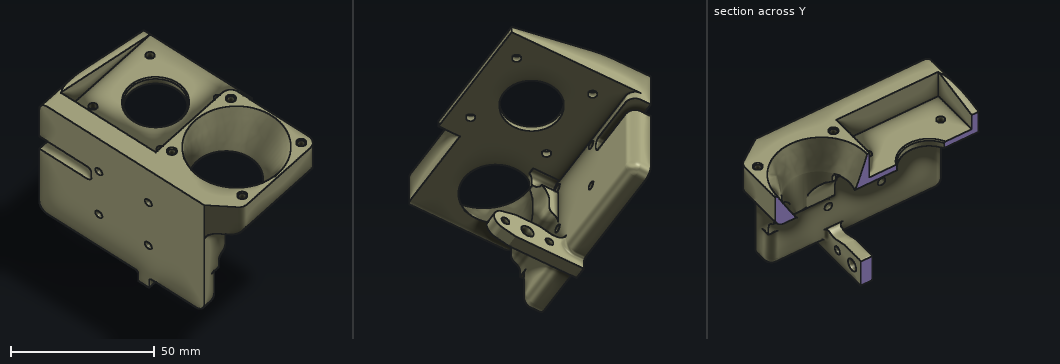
import cadquery as cq
import math

TOTAL_X = 86.3
TOTAL_Y = 56.8
TOTAL_Z = 61.8

PLATE_X = 75.0
PLATE_THICK = 8.0
PLATE_BOTTOM = 5.2
EDGE_RADIUS = 4.0
BACK_RADIUS = 3.9
SCREW_DIA = 3.2
SCREW_X = 27.1
SCREW_Z = 22.1
SCREW_PITCH = 22.5
SLOT_LENGTH = 23.7
SLOT_BOTTOM = 37.0
SLOT_TOP = 43.5
SLOT_RADIUS = 2.0

WALL = 3.0
DECK_BOTTOM = 47.1
DECK_TOP = DECK_BOTTOM + WALL
POCKET_X = 43.2
DECK_X = POCKET_X + 2 * WALL
MOTOR_X = DECK_X / 2
MOTOR_Y = 33.75
MOTOR_PITCH = 31.0
MOTOR_BORE_DIA = 22.5
MOTOR_BORE_CHAMFER = 0.5

FAN_LEFT = WALL + POCKET_X
FAN_SIZE = TOTAL_X - FAN_LEFT
FAN_BACK = PLATE_THICK + FAN_SIZE
FAN_X = TOTAL_X - FAN_SIZE / 2
FAN_Y = PLATE_THICK + FAN_SIZE / 2
FAN_PITCH = 32.0
FAN_SCREW_DIA = 2.8
FAN_SCREW_DEPTH = 10.0
FAN_SCREW_CHAMFER = 0.4
DUCT_TOP_DIA = 38.0
DUCT_BOTTOM_DIA = 26.0
DUCT_BOTTOM_X = 64.7
DUCT_BOTTOM_Y = 24.1

RIB_BACK = 16.7
RIB_STEP = 11.6
RIB_BEND_Z = 43.1
RIB_STEP_Z = 34.95
RIB_ROUND_Z = 31.4
RIB_END_Z = 25.55
RIB_FILLET = 2.0
SCREW_HEAD_DIA = 5.8

TONGUE_LEFT = 45.05
TONGUE_THICK = 4.9
TONGUE_HEIGHT = 12.0
TONGUE_Z = TONGUE_HEIGHT / 2
TONGUE_HOLE_Y = 23.0
TONGUE_HOLE_DIA = 5.0
TONGUE_PIN_OFFSET = 9.0
TONGUE_PIN_DIA = 3.2
TONGUE_NOSE_RADIUS = 4.7
TONGUE_FLAT = 4.8
TONGUE_HOLLOW_Y = 13.6
TONGUE_HOLLOW_Z = 10.7
TONGUE_FILLET = 1.5

CHAMFER_ANGLE = 45
PICK_MARGIN = 0.1


def box(x0, x1, y0, y1, z0, z1):
    return cq.Workplane("XY").box(x1 - x0, y1 - y0, z1 - z0, centered=False).translate((x0, y0, z0))


def rod_y(x, z, diameter, y0, y1):
    return cq.Workplane("XZ", origin=(x, y0, z)).circle(diameter / 2).extrude(y0 - y1)


def corner_web(x, z, x_side, z_side, radius, depth):
    """Material between a square corner and the round of the given radius that touches both its sides."""
    x_end = x + x_side * radius
    z_end = z + z_side * radius
    bulge = radius * (1 - math.sqrt(0.5))
    return (
        cq.Workplane("XZ")
        .moveTo(x, z)
        .lineTo(x_end, z)
        .threePointArc((x + x_side * bulge, z + z_side * bulge), (x, z_end))
        .close()
        .extrude(-depth)
    )


def square_points(pitch):
    return [(i * pitch / 2, j * pitch / 2) for i in (-1, 1) for j in (-1, 1)]


def make_plate():
    plate = box(0, PLATE_X, 0, PLATE_THICK, PLATE_BOTTOM, TOTAL_Z)
    plate = plate.edges("|Y and <Z").fillet(EDGE_RADIUS)
    return plate.faces(">Y").edges("not >Z").fillet(BACK_RADIUS)


def make_deck():
    deck = (
        cq.Workplane("YZ")
        .moveTo(0, DECK_BOTTOM)
        .lineTo(TOTAL_Y, DECK_BOTTOM)
        .lineTo(TOTAL_Y, DECK_TOP)
        .lineTo(PLATE_THICK, TOTAL_Z)
        .lineTo(0, TOTAL_Z)
        .close()
        .extrude(DECK_X)
    )
    return deck.cut(corner_web(0, TOTAL_Z, 1, -1, EDGE_RADIUS, TOTAL_Y))


def make_fan_block():
    outline = (
        cq.Workplane("XY")
        .moveTo(FAN_LEFT, 0)
        .lineTo(PLATE_X, 0)
        .lineTo(TOTAL_X, PLATE_THICK)
        .lineTo(TOTAL_X, FAN_BACK)
        .lineTo(FAN_LEFT, FAN_BACK)
        .close()
        .extrude(TOTAL_Z)
        .edges("|Z and (>X or >Y)")
        .fillet(EDGE_RADIUS)
    )
    block = box(FAN_LEFT, TOTAL_X, 0, FAN_BACK, DECK_BOTTOM, TOTAL_Z)
    block = block.edges("|Y and >X and <Z").fillet(EDGE_RADIUS)
    web = corner_web(PLATE_X, DECK_BOTTOM, 1, -1, EDGE_RADIUS, PLATE_THICK)
    return block.union(web).intersect(outline)


def make_rib():
    """Rib with a curved back; its root lies in the plate and starts level with the lower screws."""
    foot_y = (PLATE_THICK + RIB_STEP) / 2
    foot_z = (RIB_END_Z + RIB_ROUND_Z) / 2
    return (
        cq.Workplane("YZ", origin=(DECK_X, 0, 0))
        .moveTo(0, SCREW_Z)
        .lineTo(PLATE_THICK, SCREW_Z)
        .lineTo(PLATE_THICK, RIB_END_Z)
        .tangentArcPoint((foot_y, foot_z), relative=False)
        .tangentArcPoint((RIB_STEP, RIB_ROUND_Z), relative=False)
        .lineTo(RIB_STEP, RIB_STEP_Z)
        .tangentArcPoint((RIB_BACK, RIB_BEND_Z), relative=False)
        .lineTo(RIB_BACK, DECK_BOTTOM - RIB_FILLET)
        .tangentArcPoint((RIB_BACK + RIB_FILLET, DECK_BOTTOM), relative=False)
        .lineTo(0, DECK_BOTTOM)
        .close()
        .extrude(PLATE_X - DECK_X)
    )


def make_tongue():
    """Flat arm with a round nose, a raised middle and a hollow next to the plate."""
    nose_y = TONGUE_HOLE_Y + TONGUE_PIN_OFFSET
    flat_end = TONGUE_HOLE_Y + TONGUE_FLAT
    reach_y = nose_y - flat_end
    reach = math.hypot(reach_y, TONGUE_Z)
    turn = math.atan2(-TONGUE_Z, -reach_y) + math.acos(TONGUE_NOSE_RADIUS / reach)
    touch_y = nose_y + TONGUE_NOSE_RADIUS * math.cos(turn)
    touch_rise = TONGUE_NOSE_RADIUS * math.sin(turn)
    return (
        cq.Workplane("YZ", origin=(TONGUE_LEFT, 0, 0))
        .moveTo(0, 0)
        .lineTo(flat_end, 0)
        .lineTo(touch_y, TONGUE_Z + touch_rise)
        .threePointArc((nose_y + TONGUE_NOSE_RADIUS, TONGUE_Z), (touch_y, TONGUE_Z - touch_rise))
        .lineTo(flat_end, TONGUE_HEIGHT)
        .lineTo(TONGUE_HOLE_Y - TONGUE_FLAT, TONGUE_HEIGHT)
        .lineTo(TONGUE_HOLLOW_Y, TONGUE_HOLLOW_Z)
        .tangentArcPoint((PLATE_THICK, TONGUE_HEIGHT), relative=False)
        .lineTo(0, TONGUE_HEIGHT)
        .close()
        .extrude(TONGUE_THICK)
    )


def join_tongue(plate):
    """Join the tongue and round the inside corners between its flat sides and the plate."""
    joined = plate.union(make_tongue())
    corners = []
    for side in (TONGUE_LEFT, TONGUE_LEFT + TONGUE_THICK):
        around_side = cq.selectors.BoxSelector(
            (side - PICK_MARGIN, -PICK_MARGIN, PLATE_BOTTOM - PICK_MARGIN),
            (side + PICK_MARGIN, PLATE_THICK + PICK_MARGIN, TONGUE_HEIGHT + PICK_MARGIN),
            boundingbox=True,
        )
        corners += joined.edges(around_side).vals()
    return joined.newObject(corners).fillet(TONGUE_FILLET)


def cut_duct(body):
    """Bore that narrows and shifts from the top of the fan block to its underside, then runs straight."""
    funnel = (
        cq.Workplane("XY", origin=(0, 0, TOTAL_Z))
        .center(FAN_X, FAN_Y)
        .circle(DUCT_TOP_DIA / 2)
        .workplane(offset=DECK_BOTTOM - TOTAL_Z)
        .center(DUCT_BOTTOM_X - FAN_X, DUCT_BOTTOM_Y - FAN_Y)
        .circle(DUCT_BOTTOM_DIA / 2)
        .loft(ruled=True)
    )
    outlet = (
        cq.Workplane("XY", origin=(DUCT_BOTTOM_X, DUCT_BOTTOM_Y, 0))
        .circle(DUCT_BOTTOM_DIA / 2)
        .extrude(DECK_BOTTOM)
    )
    outlet = outlet.intersect(box(0, TOTAL_X, PLATE_THICK, TOTAL_Y, RIB_END_Z, TOTAL_Z))
    return body.cut(funnel).cut(outlet)


def cut_fan_screws(body):
    drill = (
        cq.Workplane("XY", origin=(FAN_X, FAN_Y, TOTAL_Z))
        .pushPoints(square_points(FAN_PITCH))
        .circle(FAN_SCREW_DIA / 2)
        .extrude(-FAN_SCREW_DEPTH)
    )
    mouth = (
        cq.Workplane("XY", origin=(FAN_X, FAN_Y, TOTAL_Z))
        .pushPoints(square_points(FAN_PITCH))
        .circle(FAN_SCREW_DIA / 2 + FAN_SCREW_CHAMFER)
        .extrude(-FAN_SCREW_CHAMFER, taper=CHAMFER_ANGLE)
    )
    return body.cut(drill).cut(mouth)


def cut_motor_seat(body):
    pocket = box(WALL, WALL + POCKET_X, PLATE_THICK, TOTAL_Y, DECK_TOP, TOTAL_Z)
    seat = cq.Workplane("XY", origin=(MOTOR_X, MOTOR_Y, DECK_TOP))
    bore = seat.circle(MOTOR_BORE_DIA / 2).extrude(-WALL)
    mouth = seat.circle(MOTOR_BORE_DIA / 2 + MOTOR_BORE_CHAMFER)
    mouth = mouth.extrude(-MOTOR_BORE_CHAMFER, taper=CHAMFER_ANGLE)
    screws = seat.pushPoints(square_points(MOTOR_PITCH)).circle(SCREW_DIA / 2).extrude(-WALL)
    return body.cut(pocket).cut(bore).cut(mouth).cut(screws)


def cut_plate_openings(body):
    slot = box(0, SLOT_LENGTH, 0, PLATE_THICK, SLOT_BOTTOM, SLOT_TOP)
    slot = slot.edges("|Y and >X").fillet(SLOT_RADIUS)
    body = body.cut(slot)
    for x in (SCREW_X, SCREW_X + SCREW_PITCH):
        for z in (SCREW_Z, SCREW_Z + SCREW_PITCH):
            body = body.cut(rod_y(x, z, SCREW_DIA, 0, PLATE_THICK))
    head = rod_y(
        SCREW_X + SCREW_PITCH, SCREW_Z + SCREW_PITCH, SCREW_HEAD_DIA, PLATE_THICK, RIB_BACK + RIB_FILLET
    )
    return body.cut(head)


def cut_tongue_holes(body):
    holes = cq.Workplane("YZ", origin=(TONGUE_LEFT, TONGUE_HOLE_Y, TONGUE_Z))
    pins = holes.pushPoints([(-TONGUE_PIN_OFFSET, 0), (TONGUE_PIN_OFFSET, 0)])
    pins = pins.circle(TONGUE_PIN_DIA / 2).extrude(TONGUE_THICK)
    middle = holes.circle(TONGUE_HOLE_DIA / 2).extrude(TONGUE_THICK)
    return body.cut(pins).cut(middle)


body = join_tongue(make_plate())
body = body.union(make_deck()).union(make_fan_block()).union(make_rib())
body = body.cut(corner_web(0, TOTAL_Z, 1, -1, EDGE_RADIUS, PLATE_THICK))
body = cut_motor_seat(body)
body = cut_duct(body)
body = cut_fan_screws(body)
body = cut_plate_openings(body)
result = cut_tongue_holes(body)